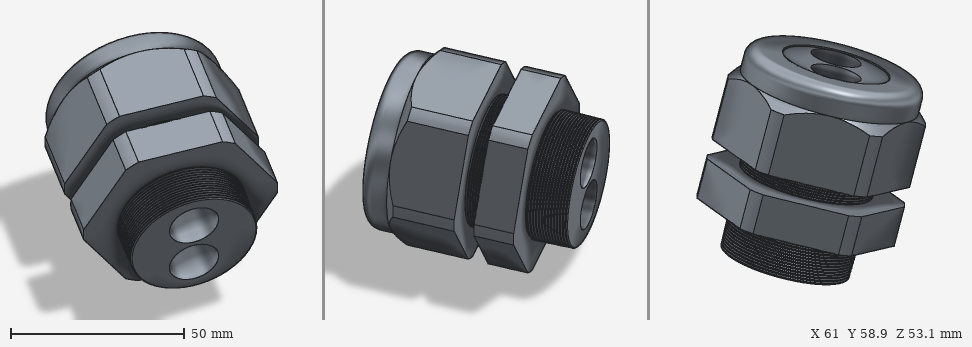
import cadquery as cq
import math


across_flats = 53.1
flat_radius = across_flats / 2
corner_radius = 29.45

dome_end = 8.35
cap_end = 29.95
collar_start = 35.95
collar_end = 48.1
overall_length = 60.95

dome_fillet = 3.8
cap_opening_radius = 16.05
shank_radius = 19.7

plug_gap = 0.25
plug_recess = 0.35
cable_hole_radius = 7.45
cable_hole_offset = 8.15

crest_share = 0.3
front_neck_length = 0.5
front_crest_radius = 19.9
front_thread_depth = 0.35
front_ridge_count = 7
rear_crest_radius = 19.4
rear_end_crest_radius = 19.15
rear_thread_depth = 0.35
rear_ridge_count = 14
relief_length = 0.4


def cylinder(start, end, radius):
    return cq.Workplane("YZ").workplane(offset=start).circle(radius).extrude(end - start)


def revolve_about_x(profile):
    return profile.close().revolve(360, (0, 0, 0), (1, 0, 0))


def rounded_hexagon(start, end):
    """Hexagonal prism with its corners turned down to a common diameter."""
    prism = cq.Workplane("YZ").workplane(offset=start).polygon(
        6, across_flats / math.cos(math.pi / 6)
    ).extrude(end - start)
    return prism.intersect(cylinder(start, end, corner_radius))


def threaded_rod(start, end, first_crest, last_crest, depth, ridge_count):
    """Solid rod with flat-crested ridges whose crest radius changes evenly from start to end."""
    pitch = (end - start) / ridge_count
    flank = pitch * (1 - crest_share) / 2
    crest_step = (last_crest - first_crest) / (ridge_count - 1)
    profile = cq.Workplane("XY").moveTo(start, 0).lineTo(start, first_crest - depth)
    for ridge in range(ridge_count):
        crest = first_crest + ridge * crest_step
        ridge_start = start + ridge * pitch
        profile = profile.lineTo(ridge_start + flank, crest)
        profile = profile.lineTo(ridge_start + pitch - flank, crest)
        profile = profile.lineTo(ridge_start + pitch, crest - depth)
    return revolve_about_x(profile.lineTo(end, 0))


def make_cap_nut():
    dome = cylinder(0, dome_end, flat_radius).faces("<X").edges().fillet(dome_fillet)

    chamfer_length = corner_radius - flat_radius
    chamfer_envelope = revolve_about_x(
        cq.Workplane("XY")
        .moveTo(dome_end, 0)
        .lineTo(dome_end, flat_radius)
        .lineTo(dome_end + chamfer_length, corner_radius)
        .lineTo(cap_end, corner_radius)
        .lineTo(cap_end, 0)
    )
    hexagon = rounded_hexagon(dome_end, cap_end).intersect(chamfer_envelope)

    opening = cylinder(0, dome_end, cap_opening_radius)
    shank_bore = cylinder(dome_end, cap_end, shank_radius)
    return dome.union(hexagon).cut(opening).cut(shank_bore)


def make_body():
    plug = cylinder(plug_recess, dome_end, cap_opening_radius - plug_gap)
    shank = cylinder(dome_end, cap_end, shank_radius)
    front_thread_start = cap_end + front_neck_length
    front_neck = cylinder(cap_end, front_thread_start, front_crest_radius - front_thread_depth)
    front_thread = threaded_rod(
        front_thread_start,
        collar_start,
        front_crest_radius,
        front_crest_radius,
        front_thread_depth,
        front_ridge_count,
    )
    collar = rounded_hexagon(collar_start, collar_end)
    rear_thread_start = collar_end + relief_length
    relief = cylinder(collar_end, rear_thread_start, rear_end_crest_radius - rear_thread_depth)
    rear_thread = threaded_rod(
        rear_thread_start,
        overall_length,
        rear_crest_radius,
        rear_end_crest_radius,
        rear_thread_depth,
        rear_ridge_count,
    )
    body = plug
    for part in (shank, front_neck, front_thread, collar, relief, rear_thread):
        body = body.union(part)
    for offset in (-cable_hole_offset, cable_hole_offset):
        body = body.cut(cylinder(0, overall_length, cable_hole_radius).translate((0, 0, offset)))
    return body


cap_nut = make_cap_nut()
body = make_body()

result = cq.Compound.makeCompound([cap_nut.val(), body.val()])